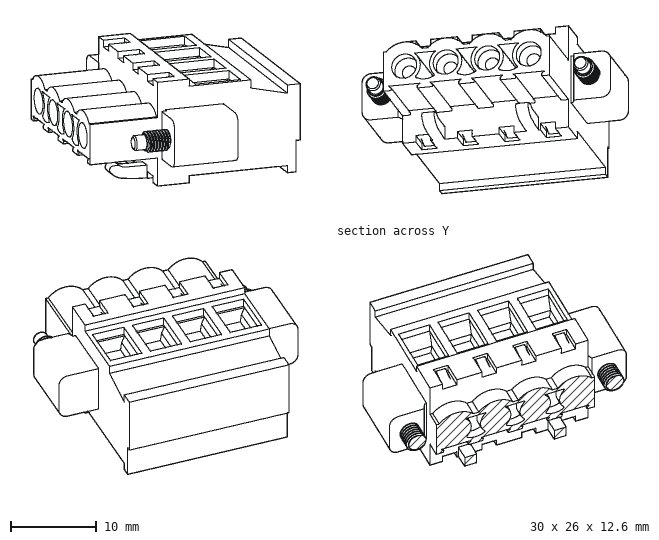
import cadquery as cq


POLES = 4
PITCH = 5.0
BODY_WIDTH = POLES * PITCH
POLE_X = [(i - (POLES - 1) / 2) * PITCH for i in range(POLES)]

BODY_TOP = 6.3
BODY_BACK = 17.67
BACK_STEP = 0.5
BACK_STEP_Z = -2.5
BACK_LIP_Y = 16.08
BACK_LIP_TOP = 4.35
GROOVE_Z = 3.35
SLOPE_TOP_Y = 11.55
SLOPE_TOP_Z = 4.45
DECK_Z = 5.43
HEAD_DEPTH = 3.93

SHELL_LENGTH = 8.35
SHELL_CREST_Z = 3.0
SHELL_VALLEY_Z = 2.0
SHELL_BOTTOM = -2.88
VALLEY_WIDTH = 0.7
SOCKET_MOUTH_R = 1.5
SOCKET_END_R = 0.8
SOCKET_BORE_DEPTH = 1.38
SOCKET_CONE_DEPTH = 0.78
WINDOW_TOP = 1.5
WINDOW_BOTTOM = -1.83
WINDOW_WALL_R = 1.95
WINDOW_FLOOR_R = 2.1
WINDOW_CORNER_R = 0.15
WINDOW_DEPTH = 7.5
RAIL_SLOT_ROOF_Z = -2.3
RAIL_SLOT_ROOF_WIDTH = 3.75
RAIL_SLOT_NECK_WIDTH = 3.12
RAIL_NOSE_TOP_Z = -2.58
RAIL_NOSE_R = 0.12

FUNNEL_WIDTH = 3.93
FUNNEL_FRONT = 4.9
FUNNEL_BACK = 10.47
FUNNEL_STRAIGHT = 1.02
FUNNEL_LEDGE = 0.3
FUNNEL_TAPER_DEPTH = 0.7
THROAT_FRONT = 5.4
THROAT_BACK = 8.7
THROAT_WIDTH = 2.97
THROAT_FLOOR_WIDTH = 2.7
THROAT_DEPTH = 1.02

NOTCH_WIDTH = 1.8
NOTCH_HEIGHT = 0.8
NOTCH_LENGTH = 2.65
RAMP_WIDTH = 1.2
RAMP_START = 1.2
RAMP_HEIGHT = 0.42

LATCH_X = 5.67
LATCH_WIDTH = 1.5
LATCH_ROOT_TOP_Z = -4.75
LATCH_FLAT_END = (-2.52, -4.7)
LATCH_RISE_MID = (-3.1, -4.62)
LATCH_RISE_END = (-3.48, -4.4)
LATCH_CROWN_END = (-4.08, -4.4)
LATCH_NOSE_MID = (-4.62, -4.8)
LATCH_NOSE_END = (-4.5, -5.25)
LATCH_CHIN_MID = (-4.02, -5.67)
LATCH_CHIN_END = (-3.27, -6.0)
LATCH_BELLY_MID = (-1.65, -6.2)

OVERALL_WIDTH = 30.0
EAR_FRONT = 0.3
EAR_BACK = 8.15
EAR_HEIGHT = 5.75
EAR_CORNER_R = 1.08
EAR_RELIEF_DEPTH = 0.7
EAR_RELIEF_WIDTH = 0.3
EAR_RELIEF_BEVEL = 0.3

SCREW_X = (POLES + 1) / 2 * PITCH
THREAD_R = 1.23
THREAD_ROOT_R = 1.02
THREAD_PITCH = 0.35
THREAD_EMBED = 0.05
THREAD_BASE_WIDTH = 0.33
THREAD_CREST_WIDTH = 0.1
SHANK_END = -2.55
SCREW_TIP_R = 0.87
SCREW_TIP_END = -3.93
SCREW_TIP_CHAMFER = 0.18


def box(x0, x1, y0, y1, z0, z1):
    return cq.Workplane("XY").box(x1 - x0, y1 - y0, z1 - z0, centered=False).translate((x0, y0, z0))


def extrude_along_x(sketch, width):
    """Extrude a YZ outline symmetrically about x = 0."""
    return sketch.close().extrude(width / 2, both=True)


def housing():
    """Main block, one side profile over the full row of poles."""
    outline = cq.Workplane("YZ").polyline([
        (0, -BODY_TOP),
        (0, BODY_TOP),
        (HEAD_DEPTH, BODY_TOP),
        (HEAD_DEPTH, DECK_Z),
        (SLOPE_TOP_Y, DECK_Z),
        (SLOPE_TOP_Y, SLOPE_TOP_Z),
        (BACK_LIP_Y, GROOVE_Z),
        (BACK_LIP_Y, BACK_LIP_TOP),
        (BODY_BACK, BACK_LIP_TOP),
        (BODY_BACK, BACK_STEP_Z),
        (BODY_BACK - BACK_STEP, BACK_STEP_Z),
        (BODY_BACK - BACK_STEP, -BODY_TOP),
        (BACK_LIP_Y, -BODY_TOP),
        (BACK_LIP_Y, -DECK_Z),
        (HEAD_DEPTH, -DECK_Z),
        (HEAD_DEPTH, -BODY_TOP),
    ])
    return extrude_along_x(outline, BODY_WIDTH)


def shell():
    """Block with one arched crest per pole and flat valleys between them."""
    half = BODY_WIDTH / 2
    arch_half = (PITCH - VALLEY_WIDTH) / 2
    outline = cq.Workplane("XZ").moveTo(-half, SHELL_BOTTOM).lineTo(-half, SHELL_VALLEY_Z)
    for x in POLE_X:
        outline = outline.lineTo(x - arch_half, SHELL_VALLEY_Z)
        outline = outline.threePointArc((x, SHELL_CREST_Z), (x + arch_half, SHELL_VALLEY_Z))
    outline = outline.lineTo(half, SHELL_VALLEY_Z).lineTo(half, SHELL_BOTTOM)
    return outline.close().extrude(SHELL_LENGTH)


def socket(x):
    """Contact opening in the plug face: a round bore ending in a cone."""
    cone_end = SOCKET_BORE_DEPTH + SOCKET_CONE_DEPTH
    profile = cq.Workplane("XY", origin=(x, -SHELL_LENGTH, 0)).polyline([
        (0, 0),
        (SOCKET_MOUTH_R, 0),
        (SOCKET_MOUTH_R, SOCKET_BORE_DEPTH),
        (SOCKET_END_R, cone_end),
        (0, cone_end),
    ])
    return profile.close().revolve(360, (0, 0), (0, 1))


def window(x):
    """Waisted recess between two neighbouring sockets, centred at x."""
    front = cq.Workplane("XZ", origin=(x, -SHELL_LENGTH, 0))
    block = front.center(0, WINDOW_TOP - PITCH / 2).rect(PITCH, PITCH).extrude(-WINDOW_DEPTH)
    floor = front.center(0, WINDOW_BOTTOM + WINDOW_FLOOR_R).circle(WINDOW_FLOOR_R).extrude(-WINDOW_DEPTH)
    walls = front.pushPoints([(-PITCH / 2, 0), (PITCH / 2, 0)]).circle(WINDOW_WALL_R).extrude(-WINDOW_DEPTH)
    lower_corners = cq.selectors.BoxSelector((x - PITCH / 2, -2 * SHELL_LENGTH, WINDOW_BOTTOM),
                                             (x + PITCH / 2, SHELL_LENGTH, WINDOW_BOTTOM / 2))
    recess = block.intersect(floor).cut(walls)
    return recess.edges("|Y").edges(lower_corners).fillet(WINDOW_CORNER_R)


def rail_slot(x):
    """Undercut slot along the shell underside, leaving nosed rails beside it."""
    roof = RAIL_SLOT_ROOF_WIDTH / 2
    neck = RAIL_SLOT_NECK_WIDTH / 2
    nose_z = SHELL_BOTTOM + RAIL_NOSE_R
    return (
        cq.Workplane("XZ", origin=(x, 0, 0))
        .moveTo(-roof, RAIL_SLOT_ROOF_Z)
        .lineTo(roof, RAIL_SLOT_ROOF_Z)
        .lineTo(neck, RAIL_NOSE_TOP_Z)
        .lineTo(neck, nose_z)
        .radiusArc((neck + RAIL_NOSE_R, SHELL_BOTTOM), -RAIL_NOSE_R)
        .lineTo(-neck - RAIL_NOSE_R, SHELL_BOTTOM)
        .radiusArc((-neck, nose_z), -RAIL_NOSE_R)
        .lineTo(-neck, RAIL_NOSE_TOP_Z)
        .close()
        .extrude(SHELL_LENGTH)
    )


def loft_down(x, top_z, top, bottom, depth):
    """Loft between two (width, front, back) rectangles, depth apart in Z."""
    top_width, top_front, top_back = top
    low_width, low_front, low_back = bottom
    top_mid = (top_front + top_back) / 2
    low_mid = (low_front + low_back) / 2
    return (
        cq.Workplane("XY", origin=(x, top_mid, top_z))
        .rect(top_width, top_back - top_front)
        .workplane(offset=-depth)
        .center(0, low_mid - top_mid)
        .rect(low_width, low_back - low_front)
        .loft(ruled=True)
    )


def wire_funnel(x):
    """Straight-walled mouth tapering into a narrower blind throat."""
    half = FUNNEL_WIDTH / 2
    taper_z = DECK_Z - FUNNEL_STRAIGHT
    throat_z = taper_z - FUNNEL_TAPER_DEPTH
    mouth = box(x - half, x + half, FUNNEL_FRONT, FUNNEL_BACK, taper_z, DECK_Z)
    taper = loft_down(x, taper_z,
                      (FUNNEL_WIDTH, FUNNEL_FRONT + FUNNEL_LEDGE, FUNNEL_BACK),
                      (THROAT_WIDTH, THROAT_FRONT, THROAT_BACK), FUNNEL_TAPER_DEPTH)
    throat = loft_down(x, throat_z,
                       (THROAT_WIDTH, THROAT_FRONT, THROAT_BACK),
                       (THROAT_FLOOR_WIDTH, THROAT_FRONT, THROAT_BACK), THROAT_DEPTH)
    return mouth.union(taper).union(throat)


def catch_notch(x):
    """Notch in the top front edge with a ramp rising toward its back."""
    half = NOTCH_WIDTH / 2
    floor_z = BODY_TOP - NOTCH_HEIGHT
    notch = box(x - half, x + half, 0, NOTCH_LENGTH, floor_z, BODY_TOP)
    ramp = cq.Workplane("YZ").polyline([
        (RAMP_START, floor_z),
        (NOTCH_LENGTH, floor_z),
        (NOTCH_LENGTH, floor_z + RAMP_HEIGHT),
    ])
    return notch.cut(extrude_along_x(ramp, RAMP_WIDTH).translate((x, 0, 0)))


def latch(x):
    """Hook with a rounded, upturned tip."""
    outline = (
        cq.Workplane("YZ")
        .moveTo(0, LATCH_ROOT_TOP_Z)
        .lineTo(*LATCH_FLAT_END)
        .threePointArc(LATCH_RISE_MID, LATCH_RISE_END)
        .lineTo(*LATCH_CROWN_END)
        .threePointArc(LATCH_NOSE_MID, LATCH_NOSE_END)
        .threePointArc(LATCH_CHIN_MID, LATCH_CHIN_END)
        .threePointArc(LATCH_BELLY_MID, (0, -BODY_TOP))
    )
    return extrude_along_x(outline, LATCH_WIDTH).translate((x, 0, 0))


def ear():
    """Right-hand screw flange, relieved where it meets the housing."""
    inner = BODY_WIDTH / 2
    outer = OVERALL_WIDTH / 2
    relief_x = inner + EAR_RELIEF_WIDTH
    plan = cq.Workplane("XY").polyline([
        (0, EAR_BACK),
        (outer, EAR_BACK),
        (outer, EAR_FRONT),
        (relief_x + EAR_RELIEF_BEVEL, EAR_FRONT),
        (relief_x, EAR_FRONT + EAR_RELIEF_DEPTH),
        (0, EAR_FRONT + EAR_RELIEF_DEPTH),
    ])
    return plan.close().extrude(EAR_HEIGHT / 2, both=True).edges("|Y and >X").fillet(EAR_CORNER_R)


def screw(x):
    """Threaded shank with a plain chamfered tip, pointing toward -Y."""
    shank = cq.Workplane("XY").circle(THREAD_ROOT_R).extrude(EAR_FRONT - SHANK_END)
    tip = cq.Workplane("XY").circle(SCREW_TIP_R).extrude(EAR_FRONT - SCREW_TIP_END)
    tip = tip.faces(">Z").chamfer(SCREW_TIP_CHAMFER)

    thread_length = EAR_FRONT - SHANK_END - THREAD_BASE_WIDTH / 2
    helix = cq.Wire.makeHelix(THREAD_PITCH, thread_length, THREAD_ROOT_R)
    base_r = THREAD_ROOT_R - THREAD_EMBED
    base = THREAD_BASE_WIDTH / 2
    crest = THREAD_CREST_WIDTH / 2
    ridge = (
        cq.Workplane("XZ")
        .polyline([(base_r, -base), (THREAD_R, -crest), (THREAD_R, crest), (base_r, base)])
        .close()
        .sweep(cq.Workplane("XY").add(helix), isFrenet=True)
    )
    upright = shank.union(ridge).union(tip)
    return upright.rotate((0, 0, 0), (1, 0, 0), 90).translate((x, EAR_FRONT, 0))


result = housing().union(shell())
result = result.union(ear()).union(ear().mirror("YZ"))
for x in POLE_X:
    notch = catch_notch(x)
    result = result.cut(socket(x)).cut(rail_slot(x)).cut(wire_funnel(x))
    result = result.cut(notch).cut(notch.mirror("XY"))
for left, right in zip(POLE_X, POLE_X[1:]):
    result = result.cut(window((left + right) / 2))
for x in (-LATCH_X, LATCH_X):
    result = result.union(latch(x))
for x in (-SCREW_X, SCREW_X):
    result = result.union(screw(x))